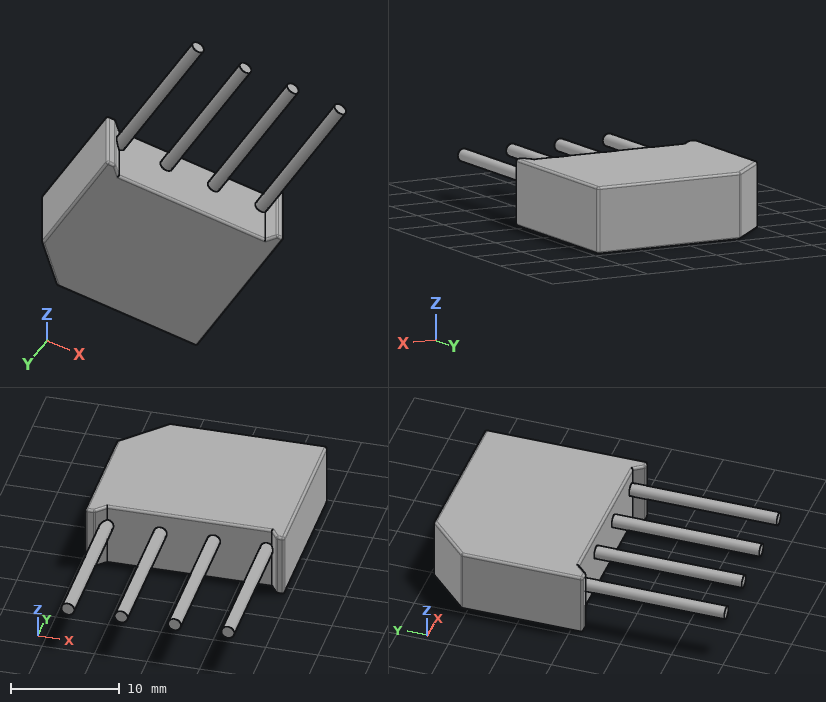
import cadquery as cq

total_length = 29.12
body_width = 19.0
body_length = 15.78
body_height = 6.32
corner_cut = 4.0
edge_radius = 0.23

recess_depth = 1.0
left_foot_tip = 0.9
left_foot_root = 1.9
right_foot_tip = 0.75
right_foot_root = 1.45

lead_count = 4
lead_diameter = 1.25
lead_span = 15.23
lead_pitch = lead_span / (lead_count - 1)
first_lead_x = 1.85
lead_center_z = 4.2
lead_length = total_length - body_length + recess_depth


def make_body():
    """Block with one cut corner and a recessed lead side, rounded on every convex edge."""
    block = (
        cq.Workplane("XY")
        .moveTo(0, 0)
        .lineTo(left_foot_tip, 0)
        .lineTo(left_foot_root, recess_depth)
        .lineTo(body_width - right_foot_root, recess_depth)
        .lineTo(body_width - right_foot_tip, 0)
        .lineTo(body_width, 0)
        .lineTo(body_width, body_length)
        .lineTo(corner_cut, body_length)
        .lineTo(0, body_length - corner_cut)
        .close()
        .extrude(body_height)
    )
    root_x = (left_foot_root, body_width - right_foot_root)
    margin = edge_radius / 2
    root_edges = cq.selectors.BoxSelector(
        (root_x[0] - margin, recess_depth - margin, margin),
        (root_x[1] + margin, recess_depth + margin, body_height - margin),
    )
    return block.edges(cq.selectors.InverseSelector(root_edges)).fillet(edge_radius)


def make_leads():
    """Row of straight round leads running from the recess floor along -Y."""
    return (
        cq.Workplane("XZ", origin=(first_lead_x, recess_depth, lead_center_z))
        .pushPoints([(i * lead_pitch, 0) for i in range(lead_count)])
        .circle(lead_diameter / 2)
        .extrude(lead_length)
    )


result = make_body().union(make_leads())